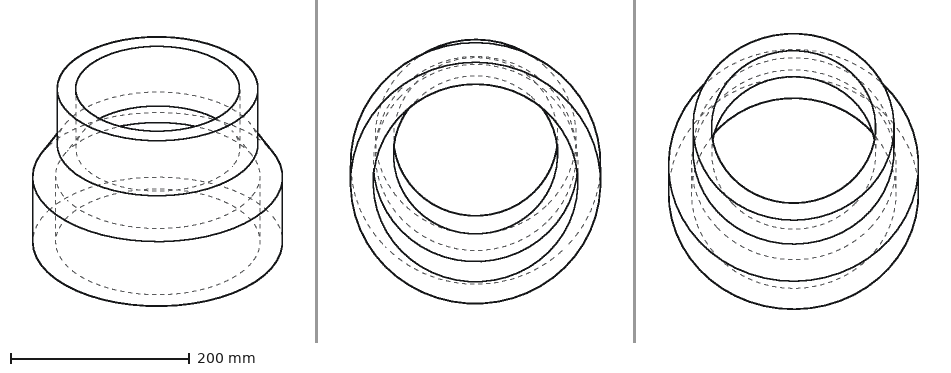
import cadquery as cq

large_outer_diameter = 280.0
small_outer_diameter = 225.0
small_bore_diameter = 183.7
large_bore_diameter = 229.0

total_height = 200.0
large_end_height = 84.5
small_end_height = 72.0

bore_taper_bottom = 86.5
bore_taper_top = 121.8
outer_taper_top = total_height - small_end_height

large_outer_radius = large_outer_diameter / 2
small_outer_radius = small_outer_diameter / 2
large_bore_radius = large_bore_diameter / 2
small_bore_radius = small_bore_diameter / 2

wall_section = (
    cq.Workplane("XZ")
    .moveTo(large_bore_radius, 0)
    .lineTo(large_outer_radius, 0)
    .lineTo(large_outer_radius, large_end_height)
    .lineTo(small_outer_radius, outer_taper_top)
    .lineTo(small_outer_radius, total_height)
    .lineTo(small_bore_radius, total_height)
    .lineTo(small_bore_radius, bore_taper_top)
    .lineTo(large_bore_radius, bore_taper_bottom)
    .close()
)

result = wall_section.revolve(360, (0, 0, 0), (0, 1, 0))